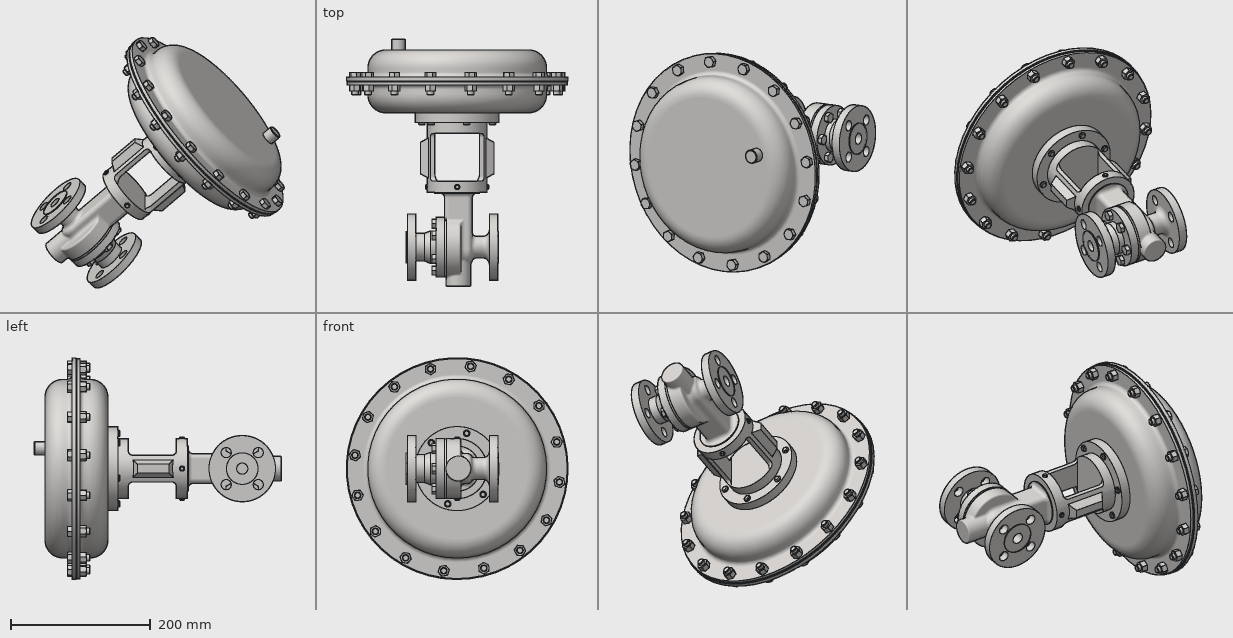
import cadquery as cq
import math


casing_top_y = 282.4
casing_bottom_y = 192.0
dome_radius = 128.0
dome_corner_radius = 25.9
rim_fillet_radius = 6.3
rim_top_y = 243.4
upper_rim_bottom_y = 237.9
diaphragm_bottom_y = 236.2
rim_bottom_y = 231.8
upper_rim_radius = 158.75
lower_rim_radius = 157.7
diaphragm_radius = 157.3
casing_turn = 15.0

casing_bolt_count = 16
casing_bolt_circle_radius = 147.5
casing_bolt_diameter = 9.53
casing_hex_corners = 16.5
casing_nut_turn = -11.0
casing_head_turn = 24.0
casing_hex_chamfer = 0.8
casing_head_height = 6.7
casing_nut_height = 8.6
casing_bolt_overhang = 5.4
casing_bolt_chamfer = 0.9

port_diameter = 19.6
port_top_y = 297.8
port_circle_radius = 88.9
port_angle = 161.0
port_chamfer = 1.0

plate_radius = 60.2
plate_bottom_y = 178.1
screw_count = 6
screw_circle_radius = 52.3
screw_diameter = 9.4
screw_height = 3.5
screw_chamfer = 1.5

yoke_radius = 43.0
yoke_bottom_y = 78.4
window_top_y = 162.9
window_bottom_y = 94.5
leg_half_width = 19.2
leg_corner_radius = 6.35
leg_inner_x = 31.8
leg_foot_x = 28.2
leg_foot_height = 10.3
leg_foot_radius = 17.0

pad_center_y = 127.5
pad_face_x = 52.8
pad_root_x = 41.1
pad_root_length = 57.8
pad_root_width = 25.2
pad_taper = 6.35

set_screw_y = 86.1
set_screw_diameter = 7.5
set_screw_reach = 45.3
set_screw_chamfer = 1.3

neck_min_x = -18.2
neck_max_x = 21.7
neck_half_width = 21.4
neck_round_center_y = -4.0
neck_edge_radius = 7.0
neck_root_radius = 6.3
collar_radius = 32.3
collar_bottom_y = 77.0

body_radius = 43.0
body_max_x = 5.3
body_edge_radius = 2.7
body_blend_radius = 6.0
gasket_thickness = 2.9
gasket_radius = 42.6
body_min_x = neck_min_x + gasket_thickness
cover_min_x = -30.2
cover_max_x = neck_min_x

cover_bolt_count = 6
cover_bolt_circle_radius = 33.5
cover_head_corners = 15.0
cover_head_height = 6.2
cover_head_chamfer = 0.8

stub_center_x = 1.75
stub_radius = 17.8
stub_bottom_y = -56.0
stub_edge_radius = 1.6
stub_blend_radius = 3.8
stub_root_y = -10.0

flange_radius = 47.6
flange_thickness = 12.3
flange_hole_diameter = 14.6
flange_hole_circle_radius = 32.4
flange_hole_start_angle = 45.0
flange_hole_count = 4
raised_face_radius = 22.6
inlet_raised_face_height = 1.6
outlet_raised_face_height = 1.2
bore_diameter = 16.0
inlet_face_x = -73.0
inlet_pipe_radius = 20.0
inlet_hub_radius = 23.4
inlet_flare_start_x = -46.8
inlet_flare_end_x = -38.4
outlet_face_x = 59.4
outlet_pipe_radius = 15.7
outlet_root_radius = 5.7
outlet_flange_blend_radius = 9.2
outlet_flange_back_x = outlet_face_x - outlet_raised_face_height - flange_thickness
outlet_flare_start_x = outlet_flange_back_x - outlet_flange_blend_radius

edge_margin = 0.1

Y_AXIS = cq.Vector(0, 1, 0)
X_AXIS = cq.Vector(1, 0, 0)


def cylinder_y(radius, y_low, y_high, x=0.0, z=0.0):
    """Round bar along Y between two Y levels."""
    solid = cq.Solid.makeCylinder(radius, y_high - y_low, cq.Vector(x, y_low, z), Y_AXIS)
    return cq.Workplane(solid)


def cylinder_x(radius, x_low, x_high, y=0.0, z=0.0):
    """Round bar along X between two X positions."""
    solid = cq.Solid.makeCylinder(radius, x_high - x_low, cq.Vector(x_low, y, z), X_AXIS)
    return cq.Workplane(solid)


def polar(radius, angle):
    """Coordinates of a point on a circle, angle in degrees."""
    return radius * math.cos(math.radians(angle)), radius * math.sin(math.radians(angle))


def edges_within(solid, low, high):
    """Edges lying wholly inside an axis-aligned box."""
    return solid.edges(cq.selectors.BoxSelector(low, high, boundingbox=True))


def hexagon(corners, height, chamfer, origin, corner_direction, normal):
    """Hexagonal prism standing on origin, its far corners chamfered off."""
    prism = cq.Workplane("XY").polygon(6, corners).extrude(height)
    envelope = cq.Workplane("XY").circle(corners / 2).extrude(height).faces(">Z").chamfer(chamfer)
    placement = cq.Location(cq.Plane(origin, corner_direction, normal))
    return cq.Workplane(prism.intersect(envelope).val().moved(placement))


def make_casing():
    """Two domed shells with the diaphragm edge between their rims, revolved as one solid."""
    flat_radius = dome_radius - dome_corner_radius
    fillet_outer = dome_radius + rim_fillet_radius
    arc_reach = 1 - math.sqrt(0.5)
    dome_drop = arc_reach * dome_corner_radius
    dome_reach = dome_radius - dome_drop
    fillet_rise = arc_reach * rim_fillet_radius
    fillet_mid = dome_radius + fillet_rise
    profile = (
        cq.Workplane("XY")
        .moveTo(0, casing_bottom_y)
        .lineTo(flat_radius, casing_bottom_y)
        .threePointArc(
            (dome_reach, casing_bottom_y + dome_drop),
            (dome_radius, casing_bottom_y + dome_corner_radius),
        )
        .lineTo(dome_radius, rim_bottom_y - rim_fillet_radius)
        .threePointArc((fillet_mid, rim_bottom_y - fillet_rise), (fillet_outer, rim_bottom_y))
        .lineTo(lower_rim_radius, rim_bottom_y)
        .lineTo(lower_rim_radius, diaphragm_bottom_y)
        .lineTo(diaphragm_radius, diaphragm_bottom_y)
        .lineTo(diaphragm_radius, upper_rim_bottom_y)
        .lineTo(upper_rim_radius, upper_rim_bottom_y)
        .lineTo(upper_rim_radius, rim_top_y)
        .lineTo(fillet_outer, rim_top_y)
        .threePointArc(
            (fillet_mid, rim_top_y + fillet_rise), (dome_radius, rim_top_y + rim_fillet_radius)
        )
        .lineTo(dome_radius, casing_top_y - dome_corner_radius)
        .threePointArc((dome_reach, casing_top_y - dome_drop), (flat_radius, casing_top_y))
        .lineTo(0, casing_top_y)
        .close()
    )
    return profile.revolve(360, (0, 0, 0), (0, 1, 0))


def make_casing_bolt(angle):
    """Hexagon head above the rim, nut and bolt end below it."""
    x, z = polar(casing_bolt_circle_radius, angle)
    head_corner_x, head_corner_z = polar(1, angle + casing_head_turn)
    nut_corner_x, nut_corner_z = polar(1, angle + casing_nut_turn)
    head = hexagon(
        casing_hex_corners,
        casing_head_height,
        casing_hex_chamfer,
        (x, rim_top_y, z),
        (head_corner_x, 0, head_corner_z),
        (0, 1, 0),
    )
    nut = hexagon(
        casing_hex_corners,
        casing_nut_height,
        casing_hex_chamfer,
        (x, rim_bottom_y, z),
        (nut_corner_x, 0, nut_corner_z),
        (0, -1, 0),
    )
    bolt_end_y = rim_bottom_y - casing_nut_height - casing_bolt_overhang
    shank = cylinder_y(casing_bolt_diameter / 2, bolt_end_y, rim_top_y, x, z)
    shank = shank.faces("<Y").chamfer(casing_bolt_chamfer)
    return head.union(nut).union(shank)


def make_port():
    """Air connection on top of the casing."""
    x, z = polar(port_circle_radius, port_angle)
    port = cylinder_y(port_diameter / 2, rim_top_y, port_top_y, x, z)
    return port.faces(">Y").chamfer(port_chamfer)


def make_plate_screw(angle):
    """Chamfered screw head under the mounting plate."""
    x, z = polar(screw_circle_radius, angle)
    screw = cylinder_y(screw_diameter / 2, plate_bottom_y - screw_height, plate_bottom_y, x, z)
    return screw.faces("<Y").chamfer(screw_chamfer)


def make_actuator():
    """Casing, bolts, air connection and mounting plate."""
    casing = make_casing().rotate((0, 0, 0), (0, 1, 0), -casing_turn)
    attachments = [make_port(), cylinder_y(plate_radius, plate_bottom_y, casing_bottom_y)]
    for index in range(casing_bolt_count):
        attachments.append(make_casing_bolt(casing_turn + index * 360 / casing_bolt_count))
    for index in range(screw_count):
        attachments.append(make_plate_screw(casing_turn + index * 360 / screw_count))
    return cq.Workplane(casing.val().fuse(*[piece.val() for piece in attachments]))


def make_window():
    """Opening through the yoke along Z that leaves two legs."""
    foot_top_y = window_bottom_y + leg_foot_height
    passage = (
        cq.Workplane("XY")
        .moveTo(-leg_foot_x, window_bottom_y)
        .lineTo(leg_foot_x, window_bottom_y)
        .radiusArc((leg_inner_x, foot_top_y), -leg_foot_radius)
        .lineTo(leg_inner_x, window_top_y)
        .lineTo(-leg_inner_x, window_top_y)
        .lineTo(-leg_inner_x, foot_top_y)
        .radiusArc((-leg_foot_x, window_bottom_y), -leg_foot_radius)
        .close()
        .extrude(yoke_radius, both=True)
    )
    height = window_top_y - window_bottom_y
    middle_y = (window_top_y + window_bottom_y) / 2
    for side in (1, -1):
        recess = cq.Workplane("XY").box(2 * yoke_radius, height, yoke_radius)
        recess = recess.edges("|X").edges("<Z" if side > 0 else ">Z").fillet(leg_corner_radius)
        recess = recess.translate((0, middle_y, side * (leg_half_width + yoke_radius / 2)))
        passage = passage.union(recess)
    return passage


def make_side_pad():
    """Tapered mounting pad on the -X leg of the yoke."""
    root_plane = cq.Plane((-pad_root_x, pad_center_y, 0), (0, 1, 0), (-1, 0, 0))
    pad = (
        cq.Workplane(root_plane)
        .rect(pad_root_length, pad_root_width)
        .workplane(offset=pad_face_x - pad_root_x)
        .rect(pad_root_length - 2 * pad_taper, pad_root_width - 2 * pad_taper)
        .loft(ruled=True)
    )
    seat_depth = pad_root_x - leg_inner_x
    seat = cq.Workplane(root_plane).rect(pad_root_length, pad_root_width).extrude(-seat_depth)
    return pad.union(seat.intersect(cylinder_y(yoke_radius, yoke_bottom_y, plate_bottom_y)))


def make_set_screw():
    """Radial set screw on the -X side of the lower yoke ring."""
    screw = cylinder_x(set_screw_diameter / 2, -set_screw_reach, -leg_inner_x, set_screw_y)
    return screw.faces("<X").chamfer(set_screw_chamfer)


def make_yoke():
    """Cylindrical yoke with window, side pads and set screws."""
    yoke = cylinder_y(yoke_radius, yoke_bottom_y, plate_bottom_y).cut(make_window())
    pad = make_side_pad()
    for turn in (0, 180):
        yoke = yoke.union(pad.rotate((0, 0, 0), (0, 1, 0), turn))
    screw = make_set_screw()
    for turn in (0, 90, 180, 270):
        yoke = yoke.union(screw.rotate((0, 0, 0), (0, 1, 0), turn))
    return yoke


def make_neck():
    """Rounded square neck, closed below by a half round, blended into the collar above."""
    length = neck_max_x - neck_min_x
    neck = (
        cq.Workplane(cq.Plane((neck_min_x, 0, 0), (0, 1, 0), (1, 0, 0)))
        .moveTo(yoke_bottom_y, neck_half_width)
        .lineTo(neck_round_center_y, neck_half_width)
        .threePointArc(
            (neck_round_center_y - neck_half_width, 0), (neck_round_center_y, -neck_half_width)
        )
        .lineTo(yoke_bottom_y, -neck_half_width)
        .close()
        .extrude(length)
    )
    neck = neck.faces("<X or >X").edges("not >Y").fillet(neck_edge_radius)
    neck = neck.union(cylinder_y(yoke_radius, collar_bottom_y, yoke_bottom_y))
    root = edges_within(
        neck,
        (-collar_radius, collar_bottom_y - edge_margin, -collar_radius),
        (collar_radius, collar_bottom_y + edge_margin, collar_radius),
    )
    neck = root.fillet(neck_root_radius)
    return neck.intersect(cylinder_y(collar_radius, -body_radius, yoke_bottom_y))


def make_flange(face_x, inward, raised_face_height):
    """Drilled flange with a raised face; inward is the X sign towards the body."""
    front_x = face_x + inward * raised_face_height
    back_x = front_x + inward * flange_thickness
    low_x = min(front_x, back_x)
    high_x = max(front_x, back_x)
    flange = cylinder_x(flange_radius, low_x, high_x)
    for index in range(flange_hole_count):
        y, z = polar(flange_hole_circle_radius, flange_hole_start_angle + index * 360 / flange_hole_count)
        flange = flange.cut(cylinder_x(flange_hole_diameter / 2, low_x, high_x, y, z))
    return flange.union(cylinder_x(raised_face_radius, min(face_x, back_x), max(face_x, back_x)))


def make_cover_bolt(angle):
    """Hexagon on the outer face of the cover, corners chamfered towards the cover."""
    y, z = polar(cover_bolt_circle_radius, angle)
    return hexagon(
        cover_head_corners,
        cover_head_height,
        cover_head_chamfer,
        (cover_min_x - cover_head_height, y, z),
        (0, 0, 1),
        (1, 0, 0),
    )


def make_inlet():
    """Cover, gasket, cover bolts, and the flared inlet pipe with its flange."""
    flange_back_x = inlet_face_x + inlet_raised_face_height + flange_thickness
    inlet = (
        cq.Workplane("XY")
        .moveTo(flange_back_x, 0)
        .lineTo(flange_back_x, inlet_pipe_radius)
        .lineTo(inlet_flare_start_x, inlet_pipe_radius)
        .lineTo(inlet_flare_end_x, inlet_hub_radius)
        .lineTo(cover_min_x, inlet_hub_radius)
        .lineTo(cover_min_x, body_radius)
        .lineTo(cover_max_x, body_radius)
        .lineTo(cover_max_x, gasket_radius)
        .lineTo(body_min_x, gasket_radius)
        .lineTo(body_min_x, 0)
        .close()
        .revolve(360, (0, 0, 0), (1, 0, 0))
    )
    for index in range(cover_bolt_count):
        inlet = inlet.union(make_cover_bolt(index * 360 / cover_bolt_count))
    return inlet.union(make_flange(inlet_face_x, 1, inlet_raised_face_height))


def add_outlet_pipe(neck):
    """Join the outlet pipe to the +X face of the neck with a fillet."""
    neck = neck.union(cylinder_x(outlet_pipe_radius, 0, outlet_flare_start_x))
    joint = edges_within(
        neck,
        (neck_max_x - neck_edge_radius, -neck_half_width, -neck_half_width),
        (neck_max_x + edge_margin, neck_half_width, neck_half_width),
    )
    return joint.fillet(outlet_root_radius)


def add_round_body(neck):
    """Join the round body to the neck, blend the corner and round the body's rim."""
    valve = neck.union(cylinder_x(body_radius, body_min_x, body_max_x))
    reach = body_radius + edge_margin
    neck_low_y = neck_round_center_y - neck_half_width
    joint = edges_within(
        valve,
        (neck_min_x - edge_margin, neck_low_y - edge_margin, -neck_half_width - edge_margin),
        (body_max_x + edge_margin, reach, neck_half_width + edge_margin),
    )
    valve = joint.fillet(body_blend_radius)
    rim = edges_within(
        valve, (body_max_x - edge_margin, -reach, -reach), (body_max_x + edge_margin, reach, reach)
    )
    return rim.fillet(body_edge_radius)


def add_stub(valve):
    """Join the round stub below the body and fillet it all round."""
    stub = cylinder_y(stub_radius, stub_bottom_y, stub_root_y, stub_center_x)
    stub = stub.faces("<Y").edges().fillet(stub_edge_radius)
    valve = valve.union(stub)
    joint = edges_within(
        valve,
        (neck_min_x, -body_radius - edge_margin, -stub_radius - edge_margin),
        (neck_max_x, stub_root_y, stub_radius + edge_margin),
    )
    return joint.fillet(stub_blend_radius)


def make_outlet_flange():
    """Outlet flange with the concave flare that joins it to its pipe."""
    flare = (
        cq.Workplane("XY")
        .moveTo(outlet_flare_start_x, 0)
        .lineTo(outlet_flare_start_x, outlet_pipe_radius)
        .radiusArc(
            (outlet_flange_back_x, outlet_pipe_radius + outlet_flange_blend_radius),
            -outlet_flange_blend_radius,
        )
        .lineTo(outlet_flange_back_x, 0)
        .close()
        .revolve(360, (0, 0, 0), (1, 0, 0))
    )
    return flare.union(make_flange(outlet_face_x, -1, outlet_raised_face_height))


def make_valve():
    """Complete valve body with inlet, outlet and blind bores."""
    valve = add_stub(add_round_body(add_outlet_pipe(make_neck())))
    valve = valve.union(make_outlet_flange()).union(make_inlet())
    valve = valve.cut(cylinder_x(bore_diameter / 2, inlet_face_x, neck_min_x))
    return valve.cut(cylinder_x(bore_diameter / 2, neck_max_x, outlet_face_x))


result = make_actuator().union(make_yoke()).union(make_valve())